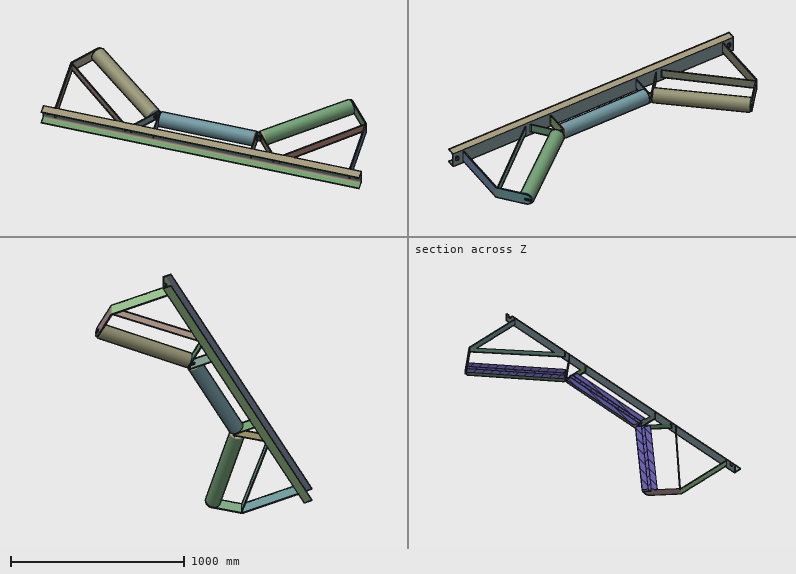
import cadquery as cq
import math


beam_length = 1900.0
beam_height = 100.0
beam_depth = 50.0
beam_wall = 5.0
beam_inner_radius = 11.0
mount_slot_width = 19.0
mount_slot_height = 30.0
mount_slot_inset = 28.0

roller_diameter = 90.0
roller_length = 568.0
roller_end_radius = 5.0
shaft_diameter = 15.0
centre_roller_y = 167.0
side_roller_x = 542.0
side_roller_y = 363.0
side_roller_tilt = 40.0

bracket_width = 75.0
bracket_thickness = 8.0
roller_clearance = 2.8
bend_inner_radius = 10.0
saddle_top_y = 192.0
saddle_thickness = 5.0
outer_post_x = 880.0
brace_width = 57.0
brace_thickness = 5.0
brace_foot_x = 458.0
brace_top_rise = 4.0

web_middle_y = beam_depth - beam_wall / 2
support_offset = roller_length / 2 + roller_clearance + bracket_thickness / 2
shaft_length = 2 * support_offset + bracket_thickness
inner_post_x = support_offset
tilt = math.radians(side_roller_tilt)
axis_dir = (math.cos(tilt), math.sin(tilt))
plate_dir = (-math.sin(tilt), math.cos(tilt))

outer_support = (
    side_roller_x + support_offset * axis_dir[0],
    side_roller_y + support_offset * axis_dir[1],
)
inner_support = (
    side_roller_x - support_offset * axis_dir[0],
    side_roller_y - support_offset * axis_dir[1],
)


def along_plate(start, distance):
    """Point at a distance from start, along the plates that stand square to the side roller."""
    return (start[0] + distance * plate_dir[0], start[1] + distance * plate_dir[1])


def plate_at_x(start, x):
    """Point with the given X on the plate line through start."""
    return along_plate(start, (x - start[0]) / plate_dir[0])


def plate_at_y(start, y):
    """Point with the given Y on the plate line through start."""
    return along_plate(start, (y - start[1]) / plate_dir[1])


def offset_path(path, distance):
    """Path moved sideways by a distance, with mitred corners."""
    normals = []
    for (x0, y0), (x1, y1) in zip(path, path[1:]):
        length = math.hypot(x1 - x0, y1 - y0)
        normals.append(((y0 - y1) / length, (x1 - x0) / length))
    before = [normals[0]] + normals
    after = normals + [normals[-1]]
    points = []
    for (x, y), (ax, ay), (bx, by) in zip(path, before, after):
        mitre = distance / (1 + ax * bx + ay * by)
        points.append((x + mitre * (ax + bx), y + mitre * (ay + by)))
    return points


def bent_plate(path, thickness, width):
    """Flat bar of the given width along Z, bent along a path in the XY plane."""
    outline = offset_path(path, thickness / 2) + offset_path(path, -thickness / 2)[::-1]
    return cq.Workplane("XY").polyline(outline).close().extrude(width / 2, both=True)


def place_on_side_roller(body):
    """Move a body modelled along X at the origin onto the +X side roller's axis."""
    return body.rotate((0, 0, 0), (0, 0, 1), side_roller_tilt).translate((side_roller_x, side_roller_y, 0))


def place_on_centre_roller(body):
    """Move a body modelled along X at the origin onto the centre roller's axis."""
    return body.translate((0, centre_roller_y, 0))


def make_beam():
    """Channel with rounded inner corners and an upright mounting slot near each end."""
    beam = cq.Workplane("XY").box(beam_length, beam_depth, beam_height).translate((0, beam_depth / 2, 0))
    hollow = (
        cq.Workplane("XY")
        .box(beam_length, beam_depth, beam_height - 2 * beam_wall)
        .edges("|X and >Y")
        .fillet(beam_inner_radius)
        .translate((0, beam_depth / 2 - beam_wall, 0))
    )
    slot_x = beam_length / 2 - mount_slot_inset
    slots = (
        cq.Workplane("XZ")
        .pushPoints([(-slot_x, 0), (slot_x, 0)])
        .slot2D(mount_slot_height, mount_slot_width, 90)
        .extrude(-beam_depth)
    )
    return beam.cut(hollow).cut(slots)


def make_outer_bracket():
    """Post that leans over at its top, where its round end carries the side roller's outer shaft end."""
    bend = plate_at_x(outer_support, outer_post_x)
    path = [(outer_post_x, web_middle_y), bend, outer_support]
    bracket = bent_plate(path, bracket_thickness, bracket_width)
    near_bend = cq.selectors.BoxSelector(
        (bend[0] - bracket_thickness, bend[1] - bracket_thickness, -bracket_width),
        (bend[0] + bracket_thickness, bend[1] + bracket_thickness, bracket_width),
    )
    bracket = bracket.edges("|Z").edges(near_bend).edges("<X").fillet(bend_inner_radius)
    bracket = bracket.edges("|Z").edges(near_bend).edges(">X").fillet(bend_inner_radius + bracket_thickness)
    round_end = place_on_side_roller(
        make_cylinder(bracket_width, bracket_thickness).translate((support_offset, 0, 0))
    )
    return bracket.union(round_end)


def make_saddle():
    """Post for the centre roller, bent over at its top to meet the side roller's narrower leaning leg."""
    bridge_y = saddle_top_y - saddle_thickness / 2
    leg_top = plate_at_y(inner_support, bridge_y)
    leg_foot = plate_at_y(inner_support, web_middle_y)
    post_path = [(inner_post_x, web_middle_y), (inner_post_x, bridge_y), leg_top]
    post = bent_plate(post_path, saddle_thickness, bracket_width)
    leg = bent_plate([leg_top, leg_foot], saddle_thickness, brace_width)
    return post.union(leg)


def make_brace():
    """Straight bar from the beam up to the bend of the outer bracket."""
    top = along_plate(plate_at_x(outer_support, outer_post_x), brace_top_rise)
    path = [(brace_foot_x, web_middle_y), top]
    return bent_plate(path, brace_thickness, brace_width)


def make_cylinder(diameter, length):
    """Cylinder along X, centred on the origin."""
    return cq.Workplane("YZ", origin=(-length / 2, 0, 0)).circle(diameter / 2).extrude(length)


def make_shaft():
    """Plain shaft, long enough to pass through the notched plates at both of its ends."""
    return make_cylinder(shaft_diameter, shaft_length)


def make_roller():
    """Roller with rounded rims, bored for its shaft."""
    roller = make_cylinder(roller_diameter, roller_length)
    return roller.faces("<X or >X").edges().fillet(roller_end_radius).cut(make_shaft())


def make_shaft_notches():
    """Cutter for the two open slots that take the ends of one shaft, modelled along X at the origin."""
    notch = cq.Workplane("XY").box(bracket_thickness, bracket_width, shaft_diameter)
    notches = make_shaft()
    for side in (-1, 1):
        notches = notches.union(notch.translate((side * support_offset, bracket_width / 2, 0)))
    return notches


def make_frame():
    """Beam with both sets of brackets welded on as one body."""
    notches = make_shaft_notches()
    half = make_outer_bracket().union(make_saddle()).union(make_brace())
    half = half.cut(place_on_side_roller(notches))
    half = half.cut(place_on_centre_roller(notches))
    return make_beam().union(half).union(half.mirror("YZ"))


def on_all_three_axes(body):
    """Copies of a body modelled along X at the origin: centre, +X side and -X side."""
    side_body = place_on_side_roller(body)
    return [place_on_centre_roller(body), side_body, side_body.mirror("YZ")]


frame = make_frame()
rollers = on_all_three_axes(make_roller())
shafts = on_all_three_axes(make_shaft())

result = cq.Compound.makeCompound(
    [frame.val()] + [roller.val() for roller in rollers] + [shaft.val() for shaft in shafts]
)